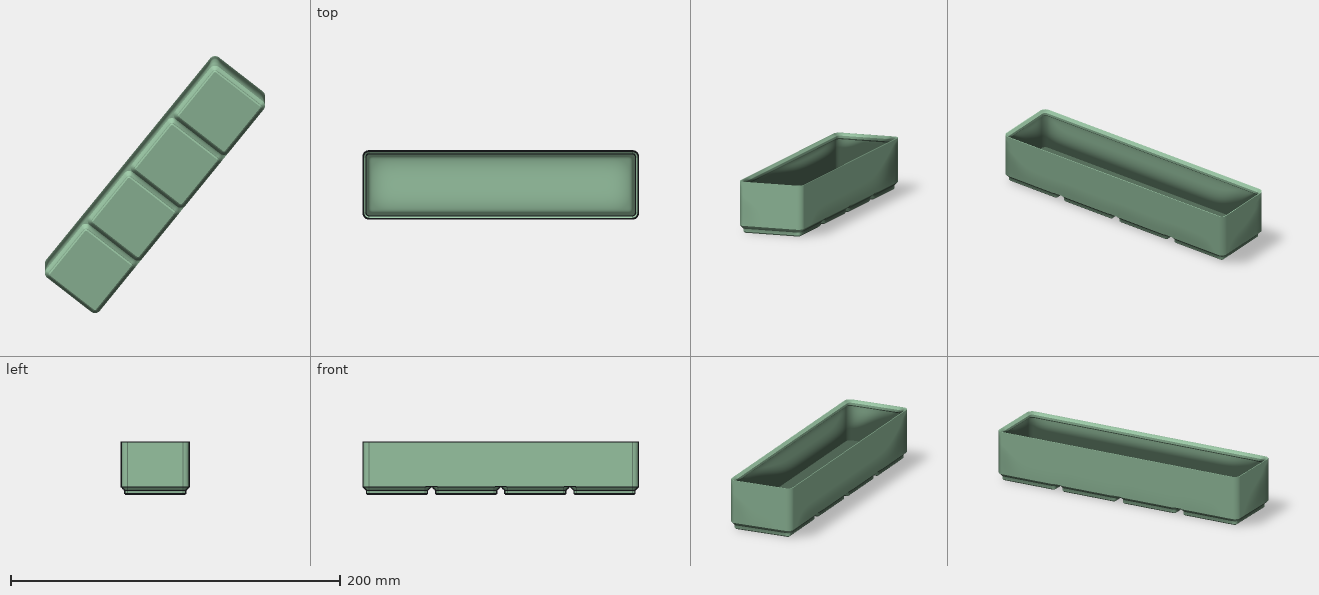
import cadquery as cq

grid_pitch = 42.0
units_x = 4
units_y = 1
fit_clearance = 0.25
total_height = 32.0
length = units_x * grid_pitch - 2 * fit_clearance
width = units_y * grid_pitch - 2 * fit_clearance
corner_radius = 3.75

foot_lower_chamfer = 0.8
foot_straight = 1.8
foot_upper_chamfer = 2.4
foot_height = foot_lower_chamfer + foot_straight + foot_upper_chamfer
cell_corner_radius = corner_radius + fit_clearance

floor_thickness = 1.0
floor_top = foot_height + floor_thickness
wall_thickness = 1.0
rim_flat = 0.4
rim_chamfer = 1.5
rim_straight = 1.5
rim_inset = rim_flat + rim_chamfer
rim_undercut = rim_inset - wall_thickness


def rounded_block(size_x, size_y, radius, bottom, height):
    """Upright block with rounded vertical edges, centred on the Z axis."""
    block = cq.Workplane("XY").box(size_x, size_y, height, centered=(True, True, False))
    return block.edges("|Z").fillet(radius).translate((0, 0, bottom))


def tapered_block(size_x, size_y, radius, bottom, height, growth):
    """Rounded block whose sides move outward by growth over its height."""
    lower = cq.Sketch().rect(size_x, size_y).vertices().fillet(radius)
    upper = (
        cq.Sketch()
        .rect(size_x + 2 * growth, size_y + 2 * growth)
        .vertices()
        .fillet(radius + growth)
    )
    top_plane = cq.Location(cq.Vector(0, 0, height))
    block = cq.Workplane("XY").placeSketch(lower, upper.moved(top_plane)).loft(ruled=True)
    return block.translate((0, 0, bottom))


def make_foot():
    """One foot, flaring out to the full grid cell at its top."""
    straight_size = grid_pitch - 2 * foot_upper_chamfer
    straight_radius = cell_corner_radius - foot_upper_chamfer
    bottom_size = straight_size - 2 * foot_lower_chamfer
    bottom_radius = straight_radius - foot_lower_chamfer
    straight_bottom = foot_lower_chamfer
    straight_top = straight_bottom + foot_straight
    lower = tapered_block(
        bottom_size, bottom_size, bottom_radius, 0, foot_lower_chamfer, foot_lower_chamfer
    )
    middle = rounded_block(
        straight_size, straight_size, straight_radius, straight_bottom, foot_straight
    )
    upper = tapered_block(
        straight_size, straight_size, straight_radius, straight_top, foot_upper_chamfer, foot_upper_chamfer
    )
    return lower.union(middle).union(upper)


def make_outer_body():
    """Solid bin: the row of feet under a block, trimmed to the outer walls."""
    body = rounded_block(length, width, corner_radius, foot_height, total_height - foot_height)
    envelope = rounded_block(length, width, corner_radius, 0, total_height)
    foot = make_foot()
    for column in range(units_x):
        for row in range(units_y):
            offset_x = (column - (units_x - 1) / 2) * grid_pitch
            offset_y = (row - (units_y - 1) / 2) * grid_pitch
            body = body.union(foot.translate((offset_x, offset_y, 0)).intersect(envelope))
    return body


def make_cavity():
    """Inner volume: thin-walled box, undercut below the rim, rim opening and its lead-in chamfer."""
    chamfer_bottom = total_height - rim_chamfer
    straight_bottom = chamfer_bottom - rim_straight
    undercut_bottom = straight_bottom - rim_undercut
    box_x = length - 2 * wall_thickness
    box_y = width - 2 * wall_thickness
    box_radius = corner_radius - wall_thickness
    opening_x = length - 2 * rim_inset
    opening_y = width - 2 * rim_inset
    opening_radius = corner_radius - rim_inset
    box = rounded_block(box_x, box_y, box_radius, floor_top, undercut_bottom - floor_top)
    undercut = tapered_block(box_x, box_y, box_radius, undercut_bottom, rim_undercut, -rim_undercut)
    opening = rounded_block(opening_x, opening_y, opening_radius, straight_bottom, rim_straight)
    lead_in = tapered_block(
        opening_x, opening_y, opening_radius, chamfer_bottom, rim_chamfer, rim_chamfer
    )
    return box.union(undercut).union(opening).union(lead_in)


result = make_outer_body().cut(make_cavity())